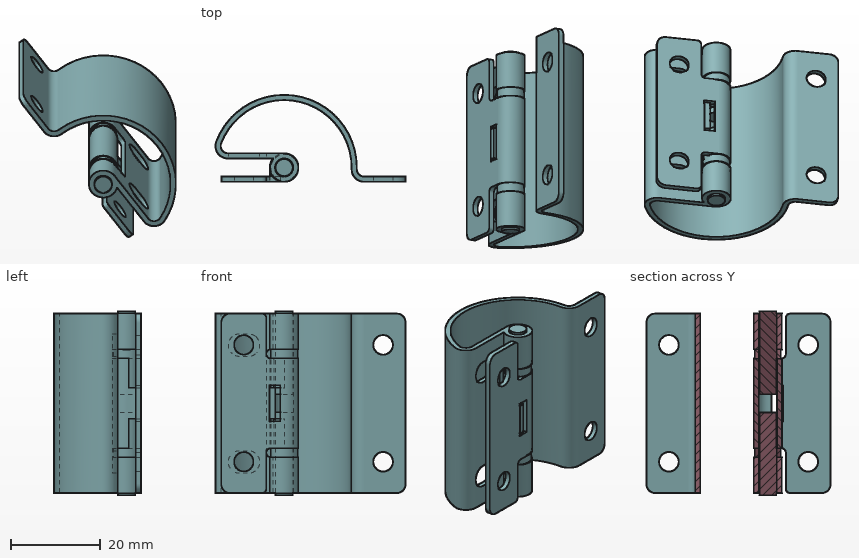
import cadquery as cq
import math

OVERALL_WIDTH = 42.35
HEIGHT = 40.0
KNUCKLE_RADIUS = 6.4 / 2
BORE_RADIUS = 4.0 / 2
SHEET = KNUCKLE_RADIUS - BORE_RADIUS
BOW_OUTER_RADIUS = 32.4 / 2
BEND_INNER_RADIUS = 1.6

STRAP_KNUCKLE_LENGTH = 8.0
LEAF_KNUCKLE_LENGTH = 20.0
SPACER_RADIUS = 3.0
SPACER_THICKNESS = (HEIGHT - LEAF_KNUCKLE_LENGTH) / 2 - STRAP_KNUCKLE_LENGTH
PIN_RADIUS = 3.9 / 2
PIN_PROTRUSION = 0.5
PIN_GAP = 4.0
PIN_LENGTH = HEIGHT / 2 + PIN_PROTRUSION - PIN_GAP / 2

LEAF_EDGE = -13.98
NOTCH_EDGE = -4.0
CORNER_RADIUS = 2.0
NOTCH_RADIUS = SPACER_THICKNESS / 2
CURL_END = -0.45
TAB_HEIGHT = 6.95
WINDOW_HEIGHT = 8.0
WINDOW_WIDTH = 2.5
WINDOW_EDGE = -3.35

HOLE_SPACING = 26.0
HOLE_DIAMETER = 4.3
LEAF_HOLE_X = -9.0
FLANGE_HOLE_X = 22.03
ACCESS_LENGTH = 7.0
ACCESS_WIDTH = 5.0


def box(x_range, y_range, z_range):
    """Block spanning the given (min, max) ranges."""
    lows, highs = zip(x_range, y_range, z_range)
    sizes = [high - low for low, high in zip(lows, highs)]
    return cq.Workplane("XY").box(*sizes, centered=False).translate(lows)


def cylinder(radius, bottom, length):
    """Cylinder on the hinge axis."""
    return cq.Workplane("XY").workplane(offset=bottom).circle(radius).extrude(length)


def hole_positions(x, y_range):
    """Upper and lower hole centres on a plane from which cutters extrude toward -Y."""
    points = [(x, -HOLE_SPACING / 2), (x, HOLE_SPACING / 2)]
    return cq.Workplane("XZ", origin=(0, y_range[1], 0)).pushPoints(points)


def screw_holes(x, y_range):
    """Cutters for an upper and a lower screw hole."""
    return hole_positions(x, y_range).circle(HOLE_DIAMETER / 2).extrude(y_range[1] - y_range[0])


def access_slots(x, y_range):
    """Cutters for an upper and a lower round-ended slot, longer in X than in Z."""
    return hole_positions(x, y_range).slot2D(ACCESS_LENGTH, ACCESS_WIDTH).extrude(y_range[1] - y_range[0])


def make_strap():
    """Bowed leaf with a screw flange and a closed knuckle at each end."""
    bow_inner = BOW_OUTER_RADIUS - SHEET
    bend_outer = BEND_INNER_RADIUS + SHEET
    return_y = BORE_RADIUS + bend_outer
    centre_distance = BOW_OUTER_RADIUS - bend_outer
    return_x = -math.sqrt(centre_distance**2 - return_y**2)
    join_angle = math.atan2(return_y, return_x)
    web_angle = 1.5 * math.pi
    return_angle = (join_angle + web_angle) / 2
    right_edge = OVERALL_WIDTH + return_x - bend_outer
    flange_x = BOW_OUTER_RADIUS + BEND_INNER_RADIUS
    flange_y = -KNUCKLE_RADIUS + bend_outer

    def bow_point(radius, angle):
        return radius * math.cos(angle), radius * math.sin(angle)

    def return_point(radius, angle):
        return return_x + radius * math.cos(angle), return_y + radius * math.sin(angle)

    def flange_point(radius):
        offset = radius * math.sqrt(0.5)
        return flange_x - offset, flange_y - offset

    sheet = (
        cq.Workplane("XY")
        .workplane(offset=-HEIGHT / 2)
        .moveTo(0, BORE_RADIUS)
        .lineTo(return_x, BORE_RADIUS)
        .threePointArc(return_point(bend_outer, return_angle), bow_point(BOW_OUTER_RADIUS, join_angle))
        .threePointArc(bow_point(BOW_OUTER_RADIUS, join_angle / 2), (BOW_OUTER_RADIUS, 0))
        .lineTo(BOW_OUTER_RADIUS, flange_y)
        .threePointArc(flange_point(BEND_INNER_RADIUS), (flange_x, flange_y - BEND_INNER_RADIUS))
        .lineTo(right_edge, flange_y - BEND_INNER_RADIUS)
        .lineTo(right_edge, -KNUCKLE_RADIUS)
        .lineTo(flange_x, -KNUCKLE_RADIUS)
        .threePointArc(flange_point(bend_outer), (bow_inner, flange_y))
        .lineTo(bow_inner, 0)
        .threePointArc(bow_point(bow_inner, join_angle / 2), bow_point(bow_inner, join_angle))
        .threePointArc(return_point(BEND_INNER_RADIUS, return_angle), (return_x, KNUCKLE_RADIUS))
        .lineTo(0, KNUCKLE_RADIUS)
        .close()
        .extrude(HEIGHT)
        .faces(">X")
        .edges("|Y")
        .fillet(CORNER_RADIUS)
    )
    knuckles = cylinder(KNUCKLE_RADIUS, -HEIGHT / 2, HEIGHT)
    bore = cylinder(BORE_RADIUS, -HEIGHT / 2, HEIGHT)
    notch_top = HEIGHT / 2 - STRAP_KNUCKLE_LENGTH
    notch = box(
        (NOTCH_EDGE, KNUCKLE_RADIUS), (-KNUCKLE_RADIUS, KNUCKLE_RADIUS), (-notch_top, notch_top)
    ).edges("|Y and <X").fillet(NOTCH_RADIUS)
    flange_holes = screw_holes(FLANGE_HOLE_X, (-KNUCKLE_RADIUS, 0))
    web_slots = access_slots(LEAF_HOLE_X, (0, KNUCKLE_RADIUS))
    return sheet.union(knuckles).cut(bore).cut(notch).cut(flange_holes).cut(web_slots)


def make_leaf():
    """Flat leaf with a middle knuckle whose tab tucks into a window."""
    plate_y = (-KNUCKLE_RADIUS, -BORE_RADIUS)
    half_knuckle = LEAF_KNUCKLE_LENGTH / 2
    plate = box((LEAF_EDGE, NOTCH_EDGE), plate_y, (-HEIGHT / 2, HEIGHT / 2))
    plate = plate.edges("|Y and <X").fillet(CORNER_RADIUS)
    plate = plate.edges("|Y and >X").fillet(NOTCH_RADIUS)

    neck_half = half_knuckle + NOTCH_RADIUS
    neck = box((NOTCH_EDGE, 0), plate_y, (-neck_half, neck_half))
    for side in (-1, 1):
        notch_z = sorted((side * half_knuckle, side * HEIGHT / 2))
        notch = box((NOTCH_EDGE, KNUCKLE_RADIUS), plate_y, notch_z)
        neck = neck.cut(notch.edges("|Y and <X").fillet(NOTCH_RADIUS))

    curl = cylinder(KNUCKLE_RADIUS, -half_knuckle, LEAF_KNUCKLE_LENGTH)
    curl = curl.cut(cylinder(BORE_RADIUS, -half_knuckle, LEAF_KNUCKLE_LENGTH))
    curl = curl.cut(box((-KNUCKLE_RADIUS, 0), (-KNUCKLE_RADIUS, 0), (-half_knuckle, half_knuckle)))
    tab_x = (-KNUCKLE_RADIUS, -BORE_RADIUS)
    curl_end = box(tab_x, (CURL_END, 0), (-half_knuckle, half_knuckle))
    tab = box(tab_x, (-KNUCKLE_RADIUS, 0), (-TAB_HEIGHT / 2, TAB_HEIGHT / 2))

    window = box(
        (WINDOW_EDGE, WINDOW_EDGE + WINDOW_WIDTH), plate_y, (-WINDOW_HEIGHT / 2, WINDOW_HEIGHT / 2)
    )
    holes = screw_holes(LEAF_HOLE_X, plate_y)
    return plate.union(neck).cut(window).cut(holes).union(curl).union(curl_end).union(tab)


def make_spacer(side):
    """Ring beside the leaf knuckle, with a tongue filling the slot below the curl end.

    The side is 1 for the upper spacer and -1 for the lower one.
    """
    tab_z = side * TAB_HEIGHT / 2
    ring_start = side * LEAF_KNUCKLE_LENGTH / 2
    ring_end = ring_start + side * SPACER_THICKNESS
    disc = cylinder(SPACER_RADIUS, min(ring_start, ring_end), SPACER_THICKNESS)
    core_length = abs(ring_end - tab_z)
    core = cylinder(SPACER_RADIUS, min(tab_z, ring_end), core_length)
    tongue = core.intersect(
        box((-SPACER_RADIUS, 0), (-BORE_RADIUS, CURL_END), sorted((tab_z, ring_end)))
    )
    return disc.union(tongue).cut(cylinder(BORE_RADIUS, min(tab_z, ring_end), core_length))


def make_pin(side):
    """Short hinge pin, upper for side 1 and lower for side -1."""
    inner_end = side * PIN_GAP / 2
    return cylinder(PIN_RADIUS, min(inner_end, inner_end + side * PIN_LENGTH), PIN_LENGTH)


strap = make_strap()
leaf = make_leaf()
spacers = [make_spacer(side) for side in (-1, 1)]
pins = [make_pin(side) for side in (-1, 1)]

result = cq.Compound.makeCompound([
    strap.solids().val(),
    leaf.solids().val(),
    *[spacer.solids().val() for spacer in spacers],
    *[pin.val() for pin in pins],
])